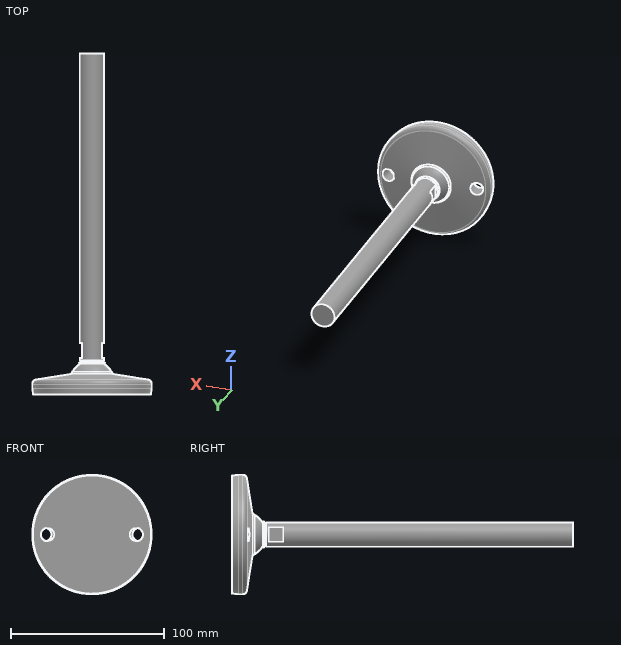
import cadquery as cq
import math

total_length = 222.0
foot_radius = 78.0 / 2
stud_radius = 16.0 / 2

base_radius = 38.5
draft_height = 4.2
rim_height = 6.9
rim_round = 3.0
cone_angle = math.radians(9)
collar_bottom_radius = 13.8
collar_top_radius = 12.9
collar_top_y = 14.9

hole_diameter = 8.5
hole_offset = 28.9
hole_drill_length = 44.5

dome_sphere_radius = 14.9
dome_top_radius = 7.5
lip_radius = 17.0 / 2
lip_y = 20.9
neck_radius = 6.7
neck_y = 21.3
shank_start_y = 22.5
flats_start_y = 24.0
flats_end_y = 33.5
flats_width = 13.0


def arc_point(radius, center_r, center_y, angle):
    """Point on a profile arc; the angle is measured from the radial direction."""
    return (center_r + radius * math.cos(angle), center_y + radius * math.sin(angle))


def make_foot():
    """Turned disc with a conical top, a small collar and two tilted holes."""
    round_center_r = foot_radius - rim_round
    round_end_angle = math.pi / 2 - cone_angle
    round_middle = arc_point(rim_round, round_center_r, rim_height, round_end_angle / 2)
    round_end = arc_point(rim_round, round_center_r, rim_height, round_end_angle)
    collar_bottom_y = round_end[1] + (round_end[0] - collar_bottom_radius) * math.tan(cone_angle)

    body = (
        cq.Workplane("XY")
        .lineTo(base_radius, 0)
        .lineTo(foot_radius, draft_height)
        .lineTo(foot_radius, rim_height)
        .threePointArc(round_middle, round_end)
        .lineTo(collar_bottom_radius, collar_bottom_y)
        .lineTo(collar_top_radius, collar_top_y)
        .lineTo(0, collar_top_y)
        .close()
        .revolve(360, (0, 0, 0), (0, 1, 0))
    )
    for side in (-1, 1):
        body = body.cut(make_hole_cutter(side))
    return body


def make_hole_cutter(side):
    """Cylinder through the underside hole centre, leaning outward towards +Y."""
    axis = cq.Vector(side * math.sin(cone_angle), math.cos(cone_angle), 0)
    start = cq.Vector(side * hole_offset, 0, 0) - axis * (hole_drill_length / 2)
    return cq.Workplane(
        cq.Solid.makeCylinder(hole_diameter / 2, hole_drill_length, start, axis)
    )


def make_stud():
    """Turned stud seated on the collar, with two wrench flats facing -X and +X."""
    dome_start_angle = math.acos(collar_top_radius / dome_sphere_radius)
    dome_end_angle = math.acos(dome_top_radius / dome_sphere_radius)
    dome_center_y = collar_top_y - dome_sphere_radius * math.sin(dome_start_angle)
    dome_middle_angle = (dome_start_angle + dome_end_angle) / 2
    dome_middle = arc_point(dome_sphere_radius, 0, dome_center_y, dome_middle_angle)
    dome_end = arc_point(dome_sphere_radius, 0, dome_center_y, dome_end_angle)

    body = (
        cq.Workplane("XY")
        .moveTo(0, collar_top_y)
        .lineTo(collar_top_radius, collar_top_y)
        .threePointArc(dome_middle, dome_end)
        .lineTo(lip_radius, lip_y)
        .lineTo(neck_radius, neck_y)
        .lineTo(stud_radius, shank_start_y)
        .lineTo(stud_radius, total_length)
        .lineTo(0, total_length)
        .close()
        .revolve(360, (0, 0, 0), (0, 1, 0))
    )
    flat_cutter_size = 2 * stud_radius
    flats_length = flats_end_y - flats_start_y
    for side in (-1, 1):
        cutter = cq.Workplane("XY").box(flat_cutter_size, flats_length, flat_cutter_size).translate(
            (side * (flats_width + flat_cutter_size) / 2, (flats_start_y + flats_end_y) / 2, 0)
        )
        body = body.cut(cutter)
    return body


foot = make_foot()
stud = make_stud()

result = cq.Compound.makeCompound([foot.val(), stud.val()])